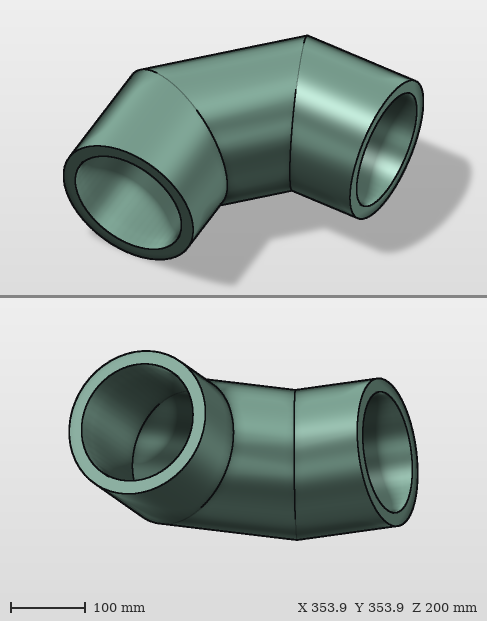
import cadquery as cq

outer_diameter = 200.0
wall_thickness = 18.2
centre_to_end = 253.95
leg_length = 134.0

outer_radius = outer_diameter / 2
bore_radius = outer_radius - wall_thickness
mitre_offset = centre_to_end - leg_length


def mitred_rod(radius):
    """Solid round bar along the elbow's centreline, mitred at both corners."""
    centreline = cq.Workplane("XY").polyline([
        (0, -centre_to_end),
        (0, -mitre_offset),
        (mitre_offset, 0),
        (centre_to_end, 0),
    ])
    profile = cq.Workplane("XZ", origin=(0, -centre_to_end, 0)).circle(radius)
    return profile.sweep(centreline, transition="right")


result = mitred_rod(outer_radius).cut(mitred_rod(bore_radius))